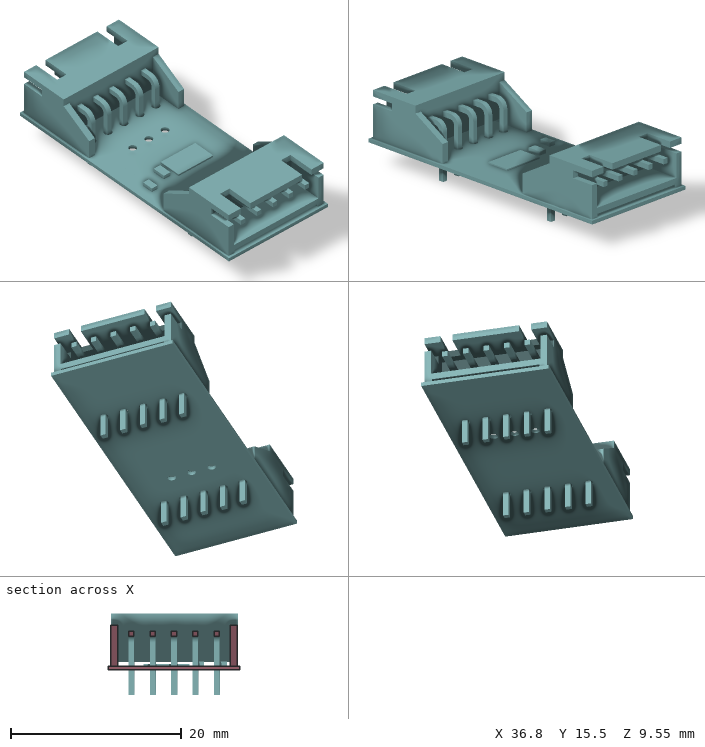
import cadquery as cq


BOARD_LENGTH = 36.83
BOARD_WIDTH = 15.5
BOARD_THICKNESS = 0.48
PIN_HOLE_DIAMETER = 1.05
PIN_HOLE_ROW_X = 8.85
PAD_HOLE_DIAMETER = 1.03
PAD_HOLE_COUNT = 3
PAD_HOLE_PITCH = 2.55
PAD_ROW_X = -4.68
PAD_ROW_Y = 0.22

HOUSING_LENGTH = 11.5
HOUSING_WIDTH = 14.88
HOUSING_HEIGHT = 6.1
SHELL_LENGTH = 7.0
WALL = 0.8
CAVITY_DEPTH = 4.7
FLOOR_TOP = 1.2
FLOOR_GAP = 0.45
WING_THICKNESS = 0.9
WING_HEIGHT = 2.55
RAMP_DROP = 1.0
ROOF_SLOT_WIDTH = 1.47
ROOF_SLOT_LENGTH = 3.7
ROOF_SLOT_OFFSET = 4.8
SIDE_SLOT_LENGTH = 3.13
SIDE_SLOT_HEIGHT = 1.0

PIN_COUNT = 5
PIN_PITCH = 2.5
PIN_SIZE = 0.65
PIN_HEIGHT = 3.75
PIN_TIP_INSET = 0.2
PIN_DROP = 9.17
OVERALL_HEIGHT = 9.55
PIN_BOTTOM = HOUSING_HEIGHT - OVERALL_HEIGHT
PIN_INNER_BEND = 0.65

MOUTH_X = 18.1
RIGHT_HEADER_Y = -0.055
LEFT_HEADER_Y = 0.0

CHIP_LENGTH = 3.15
CHIP_WIDTH = 5.4
CHIP_HEIGHT = 0.22
CHIP_CENTER = (1.3, 0.9)

COMPONENT_HEIGHT = 0.5
COMPONENT_CORE_LENGTH = 1.1
LARGE_LENGTH = 1.8
LARGE_WIDTH = 1.03
LARGE_CENTER = (1.3, -3.02)
SMALL_LENGTH = 1.55
SMALL_WIDTH = 0.9
SMALL_CENTER = (2.3, -5.75)


def box_on(x, y, z, length, width, height):
    """Box centred on x and y, with its underside at z."""
    return cq.Workplane("XY").box(length, width, height, centered=(True, True, False)).translate((x, y, z))


def span_box(x_start, x_end, width, z_start, z_end):
    """Box between two x and two z positions, centred on y = 0."""
    return box_on((x_start + x_end) / 2, 0, z_start, x_end - x_start, width, z_end - z_start)


def row(count, pitch):
    """Evenly spaced positions, centred on zero."""
    return [(i - (count - 1) / 2) * pitch for i in range(count)]



def make_housing():
    body = (
        cq.Workplane("XZ")
        .polyline([
            (0, 0),
            (HOUSING_LENGTH, 0),
            (HOUSING_LENGTH, WING_HEIGHT),
            (SHELL_LENGTH, HOUSING_HEIGHT - RAMP_DROP),
            (SHELL_LENGTH, HOUSING_HEIGHT),
            (0, HOUSING_HEIGHT),
        ])
        .close()
        .extrude(HOUSING_WIDTH / 2, both=True)
    )
    roof_underside = HOUSING_HEIGHT - WALL
    between_wings = HOUSING_WIDTH - 2 * WING_THICKNESS

    body = body.cut(span_box(0, CAVITY_DEPTH, HOUSING_WIDTH - 2 * WALL, FLOOR_TOP, roof_underside))
    body = body.cut(span_box(SHELL_LENGTH, HOUSING_LENGTH, between_wings, 0, HOUSING_HEIGHT))
    body = body.cut(span_box(0, SHELL_LENGTH, between_wings, 0, FLOOR_GAP))

    body = body.cut(
        span_box(0, SIDE_SLOT_LENGTH, HOUSING_WIDTH, roof_underside - SIDE_SLOT_HEIGHT, roof_underside)
    )

    roof_slot = span_box(0, ROOF_SLOT_LENGTH, ROOF_SLOT_WIDTH, roof_underside, HOUSING_HEIGHT)
    for side in (-1, 1):
        body = body.cut(roof_slot.translate((0, side * ROOF_SLOT_OFFSET, 0)))
    return body


def make_pin():
    """Square bent pin: a level leg, a rounded bend and an upright leg."""
    half = PIN_SIZE / 2
    return (
        cq.Workplane("XZ")
        .moveTo(PIN_TIP_INSET, PIN_HEIGHT - half)
        .lineTo(PIN_DROP - half - PIN_INNER_BEND, PIN_HEIGHT - half)
        .radiusArc((PIN_DROP - half, PIN_HEIGHT - half - PIN_INNER_BEND), PIN_INNER_BEND)
        .lineTo(PIN_DROP - half, PIN_BOTTOM)
        .lineTo(PIN_DROP + half, PIN_BOTTOM)
        .lineTo(PIN_DROP + half, PIN_HEIGHT - half - PIN_INNER_BEND)
        .radiusArc((PIN_DROP - half - PIN_INNER_BEND, PIN_HEIGHT + half), -(PIN_INNER_BEND + PIN_SIZE))
        .lineTo(PIN_TIP_INSET, PIN_HEIGHT + half)
        .close()
        .extrude(half, both=True)
    )


def make_header():
    """Housing with its row of moulded-in pins, as one solid."""
    header = make_housing()
    pin = make_pin()
    for y in row(PIN_COUNT, PIN_PITCH):
        header = header.union(pin.translate((0, y, 0)))
    return header


def make_board():
    board = box_on(0, 0, -BOARD_THICKNESS, BOARD_LENGTH, BOARD_WIDTH, BOARD_THICKNESS)
    pin_holes = [(-PIN_HOLE_ROW_X, LEFT_HEADER_Y + y) for y in row(PIN_COUNT, PIN_PITCH)]
    pin_holes += [(PIN_HOLE_ROW_X, RIGHT_HEADER_Y + y) for y in row(PIN_COUNT, PIN_PITCH)]
    pad_holes = [(PAD_ROW_X, PAD_ROW_Y + y) for y in row(PAD_HOLE_COUNT, PAD_HOLE_PITCH)]
    board = board.faces(">Z").workplane(origin=(0, 0, 0)).pushPoints(pin_holes).hole(PIN_HOLE_DIAMETER)
    return board.faces(">Z").workplane(origin=(0, 0, 0)).pushPoints(pad_holes).hole(PAD_HOLE_DIAMETER)


def make_core(center, width):
    """Middle block of a chip component."""
    return box_on(*center, 0, COMPONENT_CORE_LENGTH, width, COMPONENT_HEIGHT)


def make_terminals(center, length, width):
    """The two end blocks of a chip component, one solid each."""
    terminal_length = (length - COMPONENT_CORE_LENGTH) / 2
    offset = (COMPONENT_CORE_LENGTH + terminal_length) / 2
    return [
        box_on(center[0] + side * offset, center[1], 0, terminal_length, width, COMPONENT_HEIGHT)
        for side in (-1, 1)
    ]


board = make_board()

header = make_header()
left_header = header.translate((-MOUTH_X, LEFT_HEADER_Y, 0))
right_header = header.rotate((0, 0, 0), (0, 0, 1), 180).translate((MOUTH_X, RIGHT_HEADER_Y, 0))

chip = box_on(*CHIP_CENTER, 0, CHIP_LENGTH, CHIP_WIDTH, CHIP_HEIGHT)

cores = []
terminals = []
for center, length, width in (
    (LARGE_CENTER, LARGE_LENGTH, LARGE_WIDTH),
    (SMALL_CENTER, SMALL_LENGTH, SMALL_WIDTH),
):
    cores.append(make_core(center, width))
    terminals += make_terminals(center, length, width)

result = cq.Compound.makeCompound(
    [board.val(), left_header.val(), right_header.val(), chip.val()]
    + [core.val() for core in cores]
    + [terminal.val() for terminal in terminals]
)